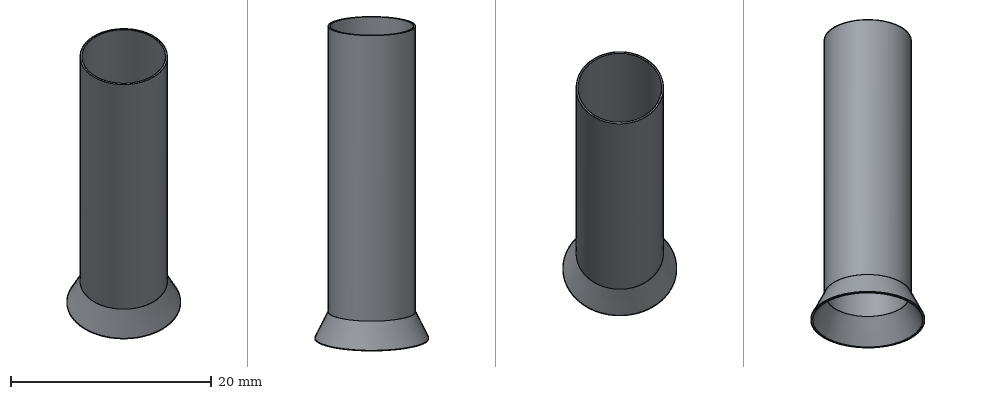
import cadquery as cq

total_height = 32.0
tube_diameter = 8.75
wall = 0.2
flare_diameter = 11.4
flare_height = 2.75
rim_height = 0.05

tube_radius = tube_diameter / 2
flare_radius = flare_diameter / 2

wall_section = [
    (flare_radius - wall, 0),
    (flare_radius, 0),
    (flare_radius, rim_height),
    (tube_radius, flare_height),
    (tube_radius, total_height),
    (tube_radius - wall, total_height),
    (tube_radius - wall, flare_height),
]

result = (
    cq.Workplane("XZ")
    .polyline(wall_section)
    .close()
    .revolve(360, (0, 0), (0, 1))
)